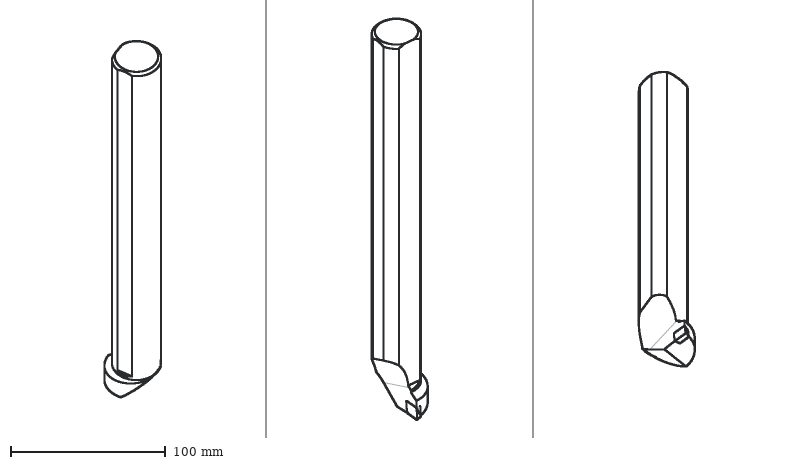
import cadquery as cq
import math

total_length = 301.25
shank_radius = 16.0
side_flat_offset = 15.0
back_flat_offset = 13.5
top_chamfer = 2.0

neck_top = 22.2
neck_bottom = 19.5

tip_reach = 22.0
head_reach = 21.15
head_front = 18.81
head_bottom = 1.0
head_shoulder_angle = 39.0
underside_relief = 7.0
back_taper_start = 20.0

rake_angle = 6.0
gullet_radius = 31.0
gullet_start = 17.0
gullet_skew = 20.0

insert_edge = 9.7
insert_corner_angle = 80.0
insert_thickness = 3.97
insert_relief = 11.0
nose_radius = 0.8

margin = 60.0


def flat_cutter(offset, direction_angle):
    """Block that removes a shank flat, ending below in a 45 degree runout."""
    depth = shank_radius - offset
    profile = [
        (shank_radius, neck_top - depth / 2),
        (offset, neck_top + depth / 2),
        (offset, total_length),
        (margin, total_length),
        (margin, neck_top - depth / 2),
    ]
    block = cq.Workplane("XZ").polyline(profile).close().extrude(margin, both=True)
    return block.rotate((0, 0, 0), (0, 0, 1), direction_angle)


def make_shank():
    shank = (
        cq.Workplane("XY")
        .workplane(offset=neck_bottom)
        .circle(shank_radius)
        .extrude(total_length - neck_bottom)
        .faces(">Z")
        .chamfer(top_chamfer)
    )
    for offset, direction_angle in (
        (side_flat_offset, 90),
        (back_flat_offset, 180),
        (side_flat_offset, 270),
    ):
        shank = shank.cut(flat_cutter(offset, direction_angle))
    return shank


def make_head():
    """Round head set off the bar axis, under a cone that is concentric with the bar."""
    head_radius = head_front
    head_centre = head_radius - head_reach
    drum = cq.Workplane("XY").center(head_centre, 0).circle(head_radius).extrude(neck_bottom)

    cone_drop = (tip_reach - shank_radius) * math.tan(math.radians(head_shoulder_angle))
    envelope = (
        cq.Workplane("XZ")
        .polyline([
            (0, 0),
            (tip_reach, 0),
            (tip_reach, neck_bottom - cone_drop),
            (shank_radius, neck_bottom),
            (0, neck_bottom),
        ])
        .close()
        .revolve(360, (0, 0), (0, 1))
    )
    head = drum.intersect(envelope)

    underside = (
        cq.Workplane("XY")
        .box(2 * margin, 2 * margin, margin, centered=(True, True, False))
        .translate((0, 0, -margin))
        .rotate((0, 0, 0), (1, 0, 0), -underside_relief)
        .translate((0, 0, head_bottom))
    )
    back_taper = (
        cq.Workplane("XZ")
        .polyline([
            (shank_radius, back_taper_start),
            (shank_radius - margin, back_taper_start - margin),
            (margin, back_taper_start - margin),
            (margin, back_taper_start),
        ])
        .close()
        .extrude(margin, both=True)
    )
    return head.cut(underside).cut(back_taper)


def turn_to_rake(body):
    return body.rotate((-tip_reach, 0, 0), (-tip_reach, 0, 1), rake_angle)


def make_gullet():
    """Cutter for the chip gullet: a plane through the tip that curves out towards +Y."""
    floor = (
        cq.Workplane("YZ")
        .moveTo(0, -margin)
        .lineTo(0, 0)
        .radiusArc((gullet_radius, gullet_radius), gullet_radius)
        .lineTo(gullet_radius, -margin)
        .close()
        .extrude(margin, both=True)
    )
    skewed = floor.rotate((0, 0, 0), (0, 1, 0), gullet_skew).translate((0, 0, gullet_start))
    return turn_to_rake(skewed)


def make_insert():
    """Rhombic insert whose rounded nose touches the tip reach and the bar's lowest plane."""
    side_lean = (insert_corner_angle - 90) / 2
    upper_angle = math.radians(90 + side_lean)
    lower_angle = math.radians(-side_lean)
    bisector = (upper_angle + lower_angle) / 2
    nose_setback = nose_radius / math.sin(math.radians(insert_corner_angle / 2))
    corner_x = -tip_reach + nose_radius - nose_setback * math.cos(bisector)
    corner_z = nose_radius - nose_setback * math.sin(bisector)

    lower = (insert_edge * math.cos(lower_angle), insert_edge * math.sin(lower_angle))
    upper = (insert_edge * math.cos(upper_angle), insert_edge * math.sin(upper_angle))
    rhombus = (
        cq.Sketch()
        .polygon([
            (0, 0),
            lower,
            (lower[0] + upper[0], lower[1] + upper[1]),
            upper,
            (0, 0),
        ])
        .vertices()
        .fillet(nose_radius)
    )
    blank = (
        cq.Workplane("XZ")
        .placeSketch(rhombus)
        .extrude(insert_thickness, taper=insert_relief)
        .translate((corner_x, 0, corner_z))
    )
    return turn_to_rake(blank)


insert = make_insert()
bar = make_shank().union(make_head()).cut(make_gullet()).cut(insert)

result = cq.Compound.makeCompound([bar.val(), insert.val()])